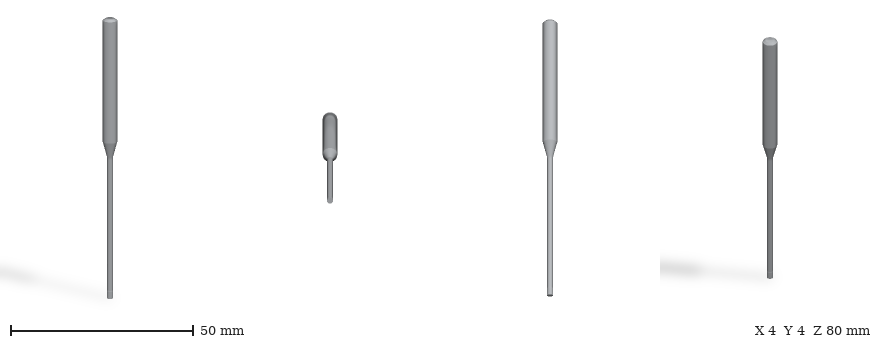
import cadquery as cq
import math

TOTAL_LENGTH = 80.0
TIP_LENGTH = 2.0
NECK_START = 2.3
NECK_END = 39.8
FLARE_HEIGHT = 0.7

SHANK_DIAMETER = 4.0
NECK_DIAMETER = 1.5
TIP_DIAMETER = 1.6

CONE_HALF_ANGLE = 15.0

CHAMFER_WIDTH = 0.7
CHAMFER_HEIGHT = 0.6


def make_holder():
    """Revolve the shank, cone, flare, neck and the short taper down to the tip."""
    shank_radius = SHANK_DIAMETER / 2
    neck_radius = NECK_DIAMETER / 2
    cone_angle = math.radians(CONE_HALF_ANGLE)
    flare_radius = FLARE_HEIGHT / math.sin(cone_angle)
    cone_start_radius = neck_radius + flare_radius * (1 - math.cos(cone_angle))
    cone_start = NECK_END + FLARE_HEIGHT
    shank_start = cone_start + (shank_radius - cone_start_radius) / math.tan(cone_angle)
    profile = (
        cq.Workplane("XZ")
        .moveTo(0, TIP_LENGTH)
        .lineTo(TIP_DIAMETER / 2, TIP_LENGTH)
        .lineTo(neck_radius, NECK_START)
        .lineTo(neck_radius, NECK_END)
        .tangentArcPoint((cone_start_radius, cone_start), relative=False)
        .lineTo(shank_radius, shank_start)
        .lineTo(shank_radius, TOTAL_LENGTH - CHAMFER_HEIGHT)
        .lineTo(shank_radius - CHAMFER_WIDTH, TOTAL_LENGTH)
        .lineTo(0, TOTAL_LENGTH)
        .close()
    )
    return profile.revolve(360, (0, 0, 0), (0, 1, 0))


def make_tip():
    """Plain cylindrical cutting tip, flush against the end of the holder."""
    return cq.Workplane("XY").circle(TIP_DIAMETER / 2).extrude(TIP_LENGTH)


holder = make_holder()
tip = make_tip()

result = cq.Compound.makeCompound([holder.val(), tip.val()])